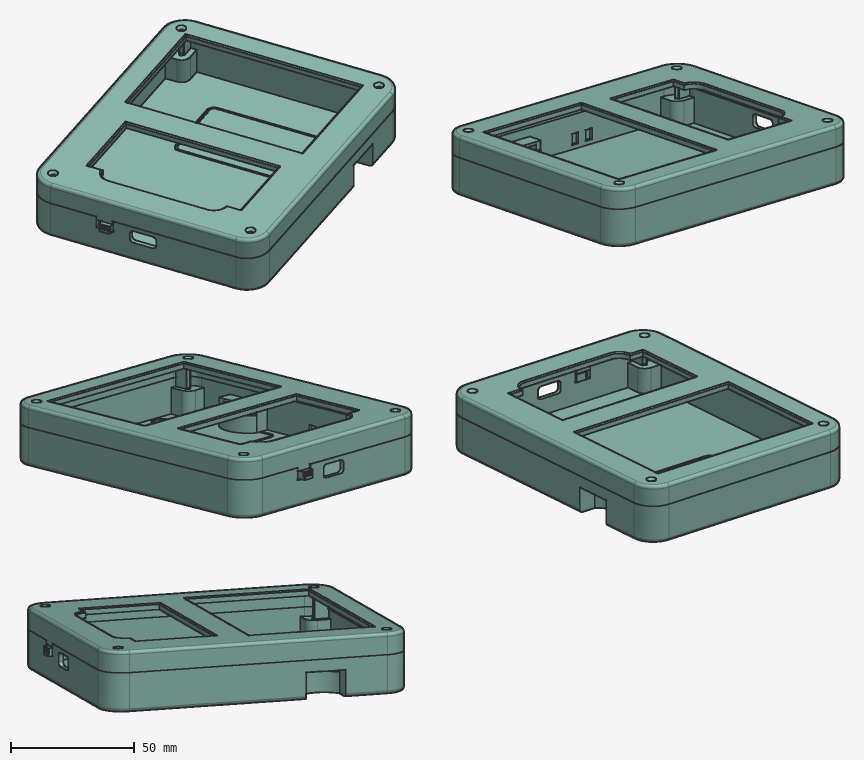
import cadquery as cq
CASE_X = 104.0
CASE_Y = 130.5
CASE_Z = 25.4
CORNER_RADIUS = 10.0
EDGE_FILLET = 1.5
WALL = 2.0
FLOOR = 1.5
LID_PLATE = 2.6
PARTING_Z = 16.3

HALF_X = CASE_X / 2
HALF_Y = CASE_Y / 2
INNER_X = HALF_X - WALL
INNER_Y = HALF_Y - WALL
INNER_RADIUS = CORNER_RADIUS - WALL
PLATE_BOTTOM_Z = CASE_Z - LID_PLATE

SCREW_X = 44.7
SCREW_Y = 57.5
SCREW_DIAMETER = 1.7
SCREW_HEAD_DIAMETER = 4.1
SCREW_HEAD_ANGLE = 90
POST_RADIUS = 4.0
POST_TOP_Z = 12.5
LID_RIB_WIDTH = 2.6
SCREW_POINTS = [(sx * SCREW_X, sy * SCREW_Y) for sx in (-1, 1) for sy in (-1, 1)]

SCREEN_LEFT = -40.8
SCREEN_RIGHT = 38.4
SCREEN_FRONT = 1.2
SCREEN_BACK = 53.9

FLARE_WIDTH = 0.7
FLARE_DEPTH = 0.5

KEYPAD_X = 68.8
KEYPAD_BACK = -12.3
KEYPAD_FRONT = -45.9
TONGUE_X = 55.9
TONGUE_FRONT = -51.6
TONGUE_RADIUS = 5.5

GROOVE_WIDTH = 0.9
GROOVE_DEPTH = 0.5
BATTERY_LEFT = -25.0
BATTERY_RIGHT = 46.6
BATTERY_FRONT = 10.2
BATTERY_BACK = 44.5
BATTERY_RADIUS = 3.3
RING_X = 29.9
RING_Y = 58.6
RING_RADIUS = 4.0

LOOP_X = 49.8
LOOP_Y = 29.0
LOOP_RADIUS = 11.9
LOOP_HALF_WIDTH = 10.3
LOOP_WALL = 1.9
LOOP_TOP_Z = 8.7
BAR_LEFT = 43.4
BAR_THICKNESS = 1.2

NOTCH_Y_PLACES = (-6.4, -13.9)
NOTCH_WIDTH = 3.5
NOTCH_DEPTH = 1.3
NOTCH_BOTTOM_Z = 3.3
NOTCH_HEIGHT = 4.8

PORT_X = 11.9
PORT_Z = 5.7
PORT_CENTRE_Z = 11.5
PORT_RADIUS = 1.7

SLOT_LEFT = -21.2
SLOT_RIGHT = -13.5
SLOT_BOTTOM_Z = 11.0
TAB_RIGHT = -14.0
TAB_BOTTOM_Z = 14.7
SLIDER_LEFT = -19.0
SLIDER_RIGHT = -14.0
SLIDER_TOP_Z = 14.4
SLIDER_REACH = 1.9
SLIDER_CHAMFER = 0.33
SERRATION_COUNT = 4
SERRATION_PITCH = 0.5
SERRATION_WIDTH = 0.3
SERRATION_DEPTH = 0.7


def box(x0, x1, y0, y1, z0, z1):
    """Box between the given limits."""
    return cq.Workplane("XY").box(x1 - x0, y1 - y0, z1 - z0, centered=False).translate((x0, y0, z0))


def rectangle(x0, x1, y0, y1, corner_radius=0):
    """Outline of a rectangle between the given limits, with rounded corners if asked."""
    outline = cq.Sketch().push([((x0 + x1) / 2, (y0 + y1) / 2)]).rect(x1 - x0, y1 - y0)
    if corner_radius > 0:
        outline = outline.reset().vertices().fillet(corner_radius)
    return outline


def upright(x, y, radius, z0, z1):
    """Vertical cylinder between two heights."""
    return cq.Workplane("XY", origin=(x, y, z0)).circle(radius).extrude(z1 - z0)


def rounded_block(inset, radius, z0, z1):
    """Block with rounded vertical edges, inset from the outside of the case."""
    block = cq.Workplane("XY", origin=(0, 0, z0)).rect(CASE_X - 2 * inset, CASE_Y - 2 * inset)
    return block.extrude(z1 - z0).edges("|Z").fillet(radius)


def make_posts():
    """Base posts, each round around its screw and squared off into the corner of the case."""
    posts = cq.Workplane("XY")
    for x, y in SCREW_POINTS:
        corner_x = HALF_X if x > 0 else -HALF_X
        corner_y = HALF_Y if y > 0 else -HALF_Y
        near_x = x - POST_RADIUS if x > 0 else x + POST_RADIUS
        near_y = y - POST_RADIUS if y > 0 else y + POST_RADIUS
        x0, x1 = sorted((near_x, corner_x))
        y0, y1 = sorted((near_y, corner_y))
        inner_edge = ("<" if x > 0 else ">") + "X and " + ("<" if y > 0 else ">") + "Y"
        post = box(x0, x1, y0, y1, 0, POST_TOP_Z)
        posts = posts.add(post.edges("|Z").edges(inner_edge).fillet(POST_RADIUS))
    return posts.combine()


def loop_block(inset, x_start, z0, z1):
    """Upright block with straight sides, bowed towards -X, inset from the loop's outside."""
    half_width = LOOP_HALF_WIDTH - inset
    band = box(x_start, HALF_X, LOOP_Y - half_width, LOOP_Y + half_width, z0, z1)
    return upright(LOOP_X, LOOP_Y, LOOP_RADIUS - inset, z0, z1).intersect(band)


def make_strap_loop():
    """Low bowed wall whose part beside the case wall rises to the bar."""
    low = loop_block(0, LOOP_X - LOOP_RADIUS, 0, LOOP_TOP_Z)
    return low.union(loop_block(0, BAR_LEFT, 0, POST_TOP_Z))


def battery_outline(inset):
    """Rounded rectangle around the battery."""
    return rectangle(
        BATTERY_LEFT + inset,
        BATTERY_RIGHT - inset,
        BATTERY_FRONT + inset,
        BATTERY_BACK - inset,
        BATTERY_RADIUS - inset,
    )


def make_floor_grooves():
    """Shapes of the two grooves, sunk from the top of the floor."""
    floor = cq.Workplane("XY", origin=(0, 0, FLOOR))
    battery = floor.placeSketch(battery_outline(0)).extrude(-GROOVE_DEPTH)
    island = floor.placeSketch(battery_outline(GROOVE_WIDTH)).extrude(-GROOVE_DEPTH)
    ring = floor.center(RING_X, RING_Y).circle(RING_RADIUS).circle(RING_RADIUS - GROOVE_WIDTH)
    return [battery.cut(island), ring.extrude(-GROOVE_DEPTH)]


def make_base():
    shell = rounded_block(0, CORNER_RADIUS, 0, PARTING_Z).faces("<Z").edges().fillet(EDGE_FILLET)
    outside = shell
    shell = shell.cut(rounded_block(WALL, INNER_RADIUS, FLOOR, PARTING_Z))

    for groove in make_floor_grooves():
        shell = shell.cut(groove)
    shell = shell.union(make_posts().intersect(outside))
    shell = shell.union(make_strap_loop().intersect(outside))
    opening_top_z = POST_TOP_Z - BAR_THICKNESS
    shell = shell.cut(loop_block(LOOP_WALL, LOOP_X - LOOP_RADIUS, 0, opening_top_z))

    for x, y in SCREW_POINTS:
        shell = shell.cut(upright(x, y, SCREW_DIAMETER / 2, FLOOR, POST_TOP_Z))

    for y in NOTCH_Y_PLACES:
        shell = shell.cut(
            box(INNER_X, INNER_X + NOTCH_DEPTH, y - NOTCH_WIDTH / 2, y + NOTCH_WIDTH / 2,
                NOTCH_BOTTOM_Z, NOTCH_BOTTOM_Z + NOTCH_HEIGHT)
        )

    port = (
        box(-PORT_X / 2, PORT_X / 2, -HALF_Y, -HALF_Y + WALL,
            PORT_CENTRE_Z - PORT_Z / 2, PORT_CENTRE_Z + PORT_Z / 2)
        .edges("|Y")
        .fillet(PORT_RADIUS)
    )
    slot = box(SLOT_LEFT, SLOT_RIGHT, -HALF_Y, -HALF_Y + WALL, SLOT_BOTTOM_Z, PARTING_Z)
    return shell.cut(port).cut(slot)


def flared_opening(x0, x1, y0, y1, corner_radius=0):
    """Rectangular opening through the lid plate, flared outwards at its top."""
    outline = rectangle(x0, x1, y0, y1, corner_radius)
    through = cq.Workplane("XY", origin=(0, 0, PLATE_BOTTOM_Z)).placeSketch(outline).extrude(LID_PLATE)
    flare_radius = corner_radius + FLARE_WIDTH if corner_radius > 0 else 0
    flared_outline = rectangle(
        x0 - FLARE_WIDTH, x1 + FLARE_WIDTH, y0 - FLARE_WIDTH, y1 + FLARE_WIDTH, flare_radius
    )
    flare = (
        cq.Workplane("XY", origin=(0, 0, CASE_Z - FLARE_DEPTH))
        .placeSketch(outline, flared_outline.moved(cq.Location(cq.Vector(0, 0, FLARE_DEPTH))))
        .loft(ruled=True)
    )
    return through.union(flare)


def screen_window():
    return flared_opening(SCREEN_LEFT, SCREEN_RIGHT, SCREEN_FRONT, SCREEN_BACK)


def keypad_window():
    """Rectangular opening with a round-cornered tongue towards the front."""
    main = flared_opening(-KEYPAD_X / 2, KEYPAD_X / 2, KEYPAD_FRONT, KEYPAD_BACK)
    tongue_back = KEYPAD_FRONT + 2 * TONGUE_RADIUS
    tongue = flared_opening(-TONGUE_X / 2, TONGUE_X / 2, TONGUE_FRONT, tongue_back, TONGUE_RADIUS)
    return main.union(tongue)


def make_lid():
    lid = rounded_block(0, CORNER_RADIUS, PARTING_Z, CASE_Z).faces(">Z").edges().fillet(EDGE_FILLET)
    lid = lid.cut(rounded_block(WALL, INNER_RADIUS, PARTING_Z, PLATE_BOTTOM_Z))
    for x, y in SCREW_POINTS:
        wall_y = INNER_Y if y > 0 else -INNER_Y
        y0, y1 = sorted((y, wall_y))
        lid = lid.union(
            box(x - LID_RIB_WIDTH / 2, x + LID_RIB_WIDTH / 2, y0, y1, POST_TOP_Z, PLATE_BOTTOM_Z)
        )
    lid = lid.union(
        box(SLOT_LEFT, TAB_RIGHT, -HALF_Y, -HALF_Y + WALL, TAB_BOTTOM_Z, PARTING_Z)
    )
    lid = lid.cut(screen_window())
    lid = lid.cut(keypad_window())
    return (
        lid.faces(">Z")
        .workplane(origin=(0, 0, CASE_Z))
        .pushPoints(SCREW_POINTS)
        .cskHole(SCREW_DIAMETER, SCREW_HEAD_DIAMETER, SCREW_HEAD_ANGLE)
    )


def make_slider():
    """Switch slider lying in the slot, with a serrated tip outside the case."""
    tip_y = -HALF_Y - SLIDER_REACH
    slider = box(SLIDER_LEFT, SLIDER_RIGHT, tip_y, -HALF_Y + WALL, SLOT_BOTTOM_Z, SLIDER_TOP_Z)
    slider = slider.edges("|Z and <Y").chamfer(SLIDER_CHAMFER)
    for index in range(SERRATION_COUNT):
        top = SLIDER_TOP_Z - SERRATION_PITCH * (index + 1) + SERRATION_WIDTH
        slider = slider.cut(
            box(SLIDER_LEFT, SLIDER_RIGHT, tip_y, tip_y + SERRATION_DEPTH, top - SERRATION_WIDTH, top)
        )
    return slider


base = make_base()
lid = make_lid()
slider = make_slider()
result = cq.Compound.makeCompound([base.val(), lid.val(), slider.val()])